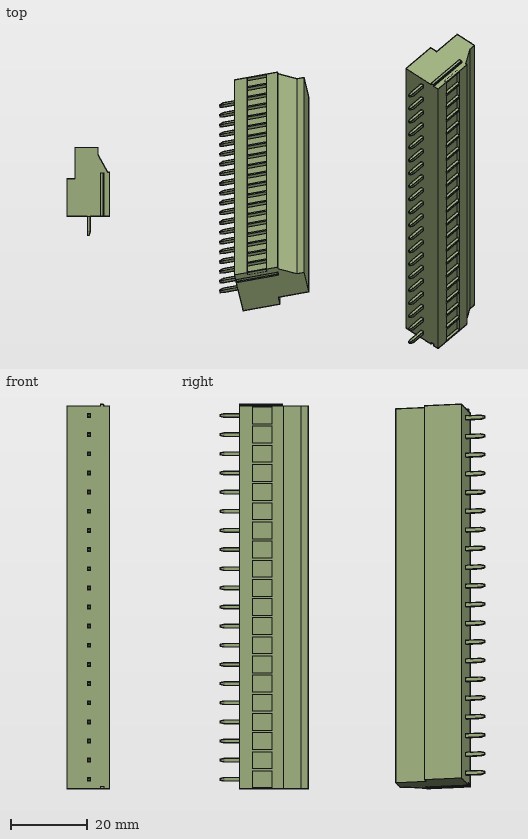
import cadquery as cq

pin_count = 20
overall_length = 100.5
overall_depth = 23.0
rib_height = 0.5
body_length = overall_length - rib_height
pitch = body_length / pin_count

body_width = 11.2
body_depth = 18.0
step_width = 2.1
step_depth = 9.8
back_face_end = 8.1
slope_start_depth = 16.1
slope_end_width = 10.7
slope_end_depth = 11.6

rib_left = 8.7
rib_width = 0.9
rib_length = 11.3
rib_chamfer = 0.2
groove_depth = 0.6

pocket_floor = 10.4
pocket_start = 3.4
pocket_end = 8.5
pocket_end_wall = 0.3

pin_center = 5.7
pin_thickness = 0.8
pin_height = 1.0
pin_length = overall_depth - body_depth
tip_length = 1.0
tip_end_thickness = 0.5
tip_end_height = 0.5
tip_shift = (pin_thickness - tip_end_thickness) / 2


def box_between(x_range, y_range, z_range):
    """Axis-aligned box given its limits along X, Y and Z."""
    sizes = [high - low for low, high in (x_range, y_range, z_range)]
    corner = (x_range[0], y_range[0], z_range[0])
    return cq.Workplane("XY").box(*sizes, centered=False).translate(corner)


def make_housing():
    outline = [
        (0, 0),
        (body_width, 0),
        (body_width, slope_end_depth),
        (slope_end_width, slope_end_depth),
        (back_face_end, slope_start_depth),
        (back_face_end, body_depth),
        (step_width, body_depth),
        (step_width, step_depth),
        (0, step_depth),
    ]
    return cq.Workplane("XY").polyline(outline).close().extrude(body_length)


def make_rib():
    rib = box_between(
        (rib_left, rib_left + rib_width),
        (0, rib_length),
        (body_length, overall_length),
    )
    return rib.edges(">X and >Z").chamfer(rib_chamfer)


def make_groove():
    return box_between(
        (rib_left, rib_left + rib_width),
        (0, rib_length),
        (0, groove_depth),
    )


def make_pocket(z_center):
    half_height = pitch / 2 - pocket_end_wall
    return box_between(
        (pocket_floor, body_width),
        (pocket_start, pocket_end),
        (z_center - half_height, z_center + half_height),
    )


def make_pin(z_center):
    shank_length = pin_length - tip_length
    shank = cq.Workplane("XZ", origin=(pin_center, 0, z_center)).rect(pin_thickness, pin_height)
    shank = shank.extrude(shank_length)
    tip = (
        cq.Workplane("XZ", origin=(pin_center, -shank_length, z_center))
        .rect(pin_thickness, pin_height)
        .workplane(offset=tip_length)
        .center(-tip_shift, 0)
        .rect(tip_end_thickness, tip_end_height)
        .loft(ruled=True)
    )
    return shank.union(tip)


result = make_housing().union(make_rib()).cut(make_groove())
for index in range(pin_count):
    z_center = (index + 0.5) * pitch
    result = result.union(make_pin(z_center)).cut(make_pocket(z_center))